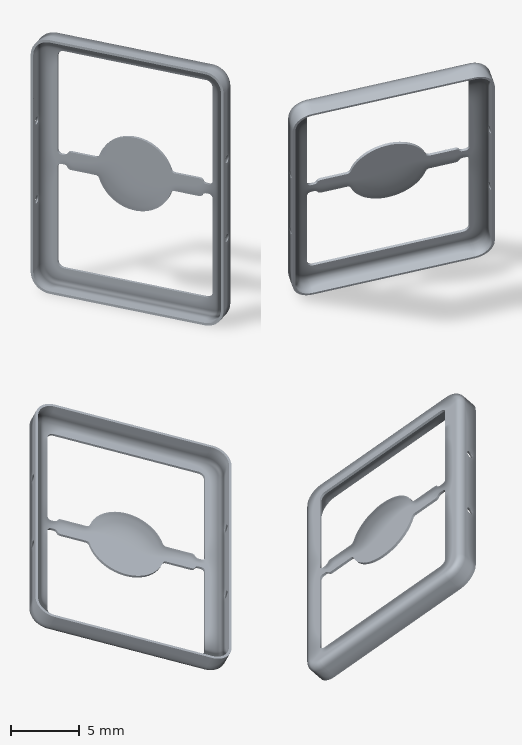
import cadquery as cq

width = 15.3
depth = 1.65
height = 20.9
corner_radius = 1.5
wall = 0.2
back_edge_radius = 0.5
inner_edge_radius = back_edge_radius - wall

border = 1.5
window_width = width - 2 * border
window_height = height - 2 * border
window_corner_radius = 0.5

disc_diameter = 6.0
bar_height = 1.46
neck_height = 0.77
neck_length = 0.7
step_run = 0.17
bar_root_length = window_width - 2 * neck_length
bar_length = bar_root_length - 2 * step_run
bar_blend_radius = 0.3

hole_diameter = 0.59
hole_spacing = 6.5
hole_from_front = 0.63

front_y = -depth / 2
back_y = depth / 2
plate_front_y = back_y - wall


def rounded_block(size_x, size_z, radius, start_y, end_y):
    """Block centred on the Y axis with its four Y-parallel edges rounded."""
    block = cq.Workplane("XY").box(size_x, end_y - start_y, size_z)
    return block.edges("|Y").fillet(radius).translate((0, (start_y + end_y) / 2, 0))


def window_bar():
    """Bar across the window, stepping down through short slopes to a neck at each end."""
    upper_half = [
        (-window_width / 2, neck_height / 2),
        (-bar_root_length / 2, neck_height / 2),
        (-bar_length / 2, bar_height / 2),
        (bar_length / 2, bar_height / 2),
        (bar_root_length / 2, neck_height / 2),
        (window_width / 2, neck_height / 2),
    ]
    lower_half = [(x, -z) for x, z in reversed(upper_half)]
    return (
        cq.Workplane("XZ", origin=(0, back_y, 0))
        .polyline(upper_half + lower_half)
        .close()
        .extrude(wall)
    )


def tray():
    outer = rounded_block(width, height, corner_radius, front_y, back_y)
    outer = outer.faces(">Y").edges().fillet(back_edge_radius)
    cavity = rounded_block(
        width - 2 * wall, height - 2 * wall, corner_radius - wall, front_y, plate_front_y
    )
    cavity = cavity.faces(">Y").edges().fillet(inner_edge_radius)
    return outer.cut(cavity)


def edges_near(body, x, z, reach=0.02):
    """Y-parallel edges at (+-x, +-z) of the body."""
    boxes = [
        cq.selectors.BoxSelector(
            (side_x * x - reach, front_y, side_z * z - reach),
            (side_x * x + reach, back_y, side_z * z + reach),
        )
        for side_x in (-1, 1)
        for side_z in (-1, 1)
    ]
    selector = boxes[0] + boxes[1] + boxes[2] + boxes[3]
    return body.edges("|Y").edges(selector)


def window():
    """Window opening with the disc, bar and necks left standing."""
    opening = rounded_block(window_width, window_height, window_corner_radius, plate_front_y, back_y)
    disc = (
        cq.Workplane("XZ", origin=(0, back_y, 0))
        .circle(disc_diameter / 2)
        .extrude(wall)
    )
    opening = opening.cut(window_bar()).cut(disc)

    disc_root_x = ((disc_diameter / 2) ** 2 - (bar_height / 2) ** 2) ** 0.5
    blended_corners = [
        (window_width / 2, neck_height / 2),
        (bar_root_length / 2, neck_height / 2),
        (bar_length / 2, bar_height / 2),
        (disc_root_x, bar_height / 2),
    ]
    for x, z in blended_corners:
        opening = edges_near(opening, x, z).fillet(bar_blend_radius)
    return opening


def pin_holes():
    return (
        cq.Workplane("YZ")
        .pushPoints([(front_y + hole_from_front, side * hole_spacing / 2) for side in (-1, 1)])
        .circle(hole_diameter / 2)
        .extrude(width / 2, both=True)
    )


result = tray().cut(window()).cut(pin_holes())